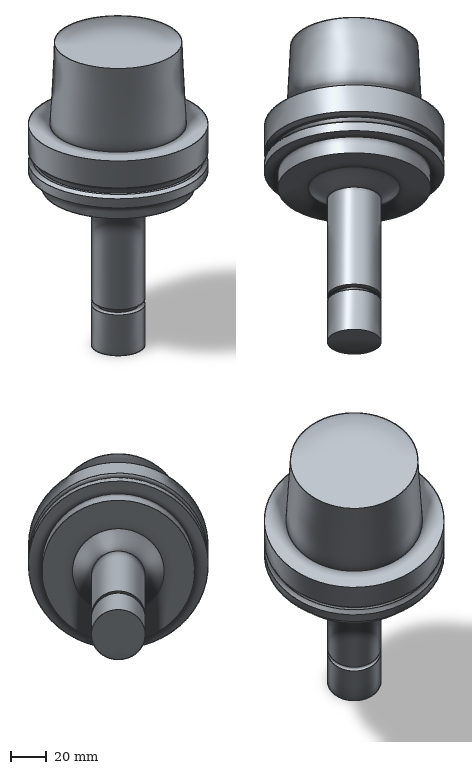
import cadquery as cq

total_height = 185.0

shank_diameter = 30.0
nut_height = 25.0

neck_diameter = 23.0
cone_top_diameter = 51.0
collar_diameter = 85.0
groove_diameter = 92.0
flange_diameter = 100.0
taper_bottom_diameter = 76.0
taper_top_diameter = 71.0

neck_top = 28.3
shank_top = 89.2
collar_bottom = 96.4
flange_bottom = 106.4
taper_height = 50.0
flange_top = total_height - taper_height

groove_center = 115.3
groove_width = 3.5
rim_chamfer_height = 1.57
rim_chamfer_depth = 2.4


def make_holder():
    """Revolve the tool holder: neck, shank, cone, collar, flange and taper."""
    profile = (
        cq.Workplane("XZ")
        .moveTo(0, nut_height)
        .lineTo(neck_diameter / 2, nut_height)
        .lineTo(neck_diameter / 2, neck_top)
        .lineTo(shank_diameter / 2, neck_top)
        .lineTo(shank_diameter / 2, shank_top)
        .lineTo(cone_top_diameter / 2, collar_bottom)
        .lineTo(collar_diameter / 2, collar_bottom)
        .lineTo(collar_diameter / 2, flange_bottom)
        .lineTo(flange_diameter / 2, flange_bottom)
        .lineTo(flange_diameter / 2, flange_top)
        .lineTo(taper_bottom_diameter / 2, flange_top)
        .lineTo(taper_top_diameter / 2, total_height)
        .lineTo(0, total_height)
        .close()
    )
    return profile.revolve(360, (0, 0), (0, 1))


def make_gripper_groove():
    """Ring cutter: a square slot that widens at the chamfered flange rims."""
    flange_radius = flange_diameter / 2
    floor_radius = groove_diameter / 2
    chamfer_radius = flange_radius - rim_chamfer_depth
    slot_bottom = groove_center - groove_width / 2
    slot_top = groove_center + groove_width / 2
    profile = (
        cq.Workplane("XZ")
        .moveTo(floor_radius, slot_bottom)
        .lineTo(chamfer_radius, slot_bottom)
        .lineTo(flange_radius, slot_bottom - rim_chamfer_height)
        .lineTo(flange_radius, slot_top + rim_chamfer_height)
        .lineTo(chamfer_radius, slot_top)
        .lineTo(floor_radius, slot_top)
        .close()
    )
    return profile.revolve(360, (0, 0), (0, 1))


def make_nut():
    """Plain cylindrical nut whose top face meets the end of the neck."""
    return cq.Workplane("XY").circle(shank_diameter / 2).extrude(nut_height)


holder = make_holder().cut(make_gripper_groove())
nut = make_nut()

result = cq.Compound.makeCompound([holder.val(), nut.val()])